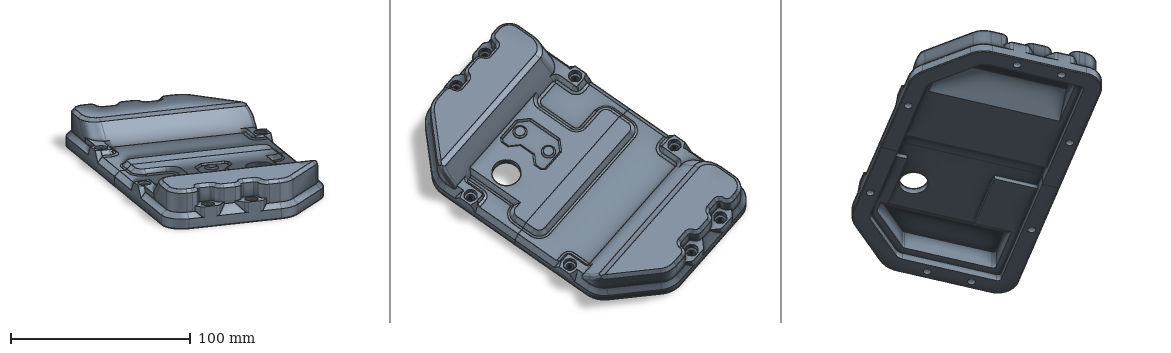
import cadquery as cq
import math

LENGTH = 176.0
WIDTH = 104.0
CORNER_CUT = 30.6
CUT_RADIUS = 16.0
CORNER_RADIUS = 12.0
BOTTOM_CHAMFER = 0.5

RIM_TOP = 6.0
FLOOR = 9.0
BACK_PAD_TOP = 11.0
PLATEAU_TOP = 12.0
LOBE_TOP = 22.0

LOBE_INSET = FLOOR - RIM_TOP
LOBE_FOOT_X = 42.8
LOBE_FRONT_FILLET = 9.0
LOBE_BACK_FILLET = 2.5
LOBE_CHAMFER = 2.0

BOLT_EDGE = 5.0
BOLT_HOLE = 4.4
COUNTERBORE = 7.2
BOLT_SEAT = 8.0
LONG_SIDE_BOLT_X = 35.0
END_BOLT_YS = (-1.2, -27.1)
END_BOSS_RADIUS = 3.0
NOTCH_CORNER_RADIUS = 2.0
NOTCH_LIP_RADIUS = 5.0
NOTCH_MARGIN = 1.8

PAD_RADIUS = 2.0
VALLEY_RADIUS = 1.0
PAD_END_X = 58.0
NOSE_FRONT_HALF = 3.7
NOSE_DEPTH = 3.3
NOSE_SPREAD = 0.72
FOOT_BEVEL = 1.0

STRIP_HALF_X = 10.2
STRIP_HALF_Y = 42.0
STRIP_RADIUS = 4.0
PLATEAU_BEVEL = 0.7
WING_TOP_Y = 34.0
WING_BOTTOM_Y = -18.5
WING_BURIED_Y = -35.2
WING_END_X = 52.8
POCKET_RADIUS = 7.0
POCKET_END_Y = -59.8

PORT_DIAMETER = 16.2
PORT_X = 27.8
PORT_Y = 24.1
PANEL_DEPTH = 1.0
PANEL_HALF_X = 16.0
PANEL_TOP_Y = 10.7
PANEL_DIP_Y = 6.0
PANEL_DIP_HALF_X = 4.4
PANEL_BOTTOM_Y = -11.0
PANEL_EAR_CUT = 2.0
PANEL_CHIN_CUT = 5.6
STUD_DIAMETER = 8.0
STUD_OFFSET = 10.0
STUD_Y = -1.0

WALL = 4.0
FLANGE = 2 * BOLT_EDGE
CAVITY_RADIUS = 2.0

HALF_LENGTH = LENGTH / 2
HALF_WIDTH = WIDTH / 2
DRAFT = 45.0
FOOT_DRAFT = 90 - DRAFT / 2
BEVEL_RISE = math.sin(math.radians(DRAFT))
LOBE_FRONT_X = LOBE_FOOT_X + LOBE_FRONT_FILLET * math.sqrt(2)


def both_ends(body):
    return body.union(body.mirror("YZ"))


def outline_prism(inset, bottom, top):
    """Prism over the cover outline moved inward by inset."""
    x = HALF_LENGTH - inset
    y = HALF_WIDTH - inset
    cut = CORNER_CUT - inset * (2 - math.sqrt(2))
    prism = (
        cq.Workplane("XY", origin=(0, 0, bottom))
        .polyline([(-x, -y), (x, -y), (x, y - cut), (x - cut, y), (cut - x, y), (-x, y - cut)])
        .close()
        .extrude(top - bottom)
    )
    prism = prism.edges("|Z and <Y").fillet(max(CORNER_RADIUS - inset, CAVITY_RADIUS))
    back_edges = cq.selectors.BoxSelector((-LENGTH, 0, 0), (LENGTH, WIDTH, LOBE_TOP))
    return prism.edges("|Z").edges(back_edges).fillet(max(CUT_RADIUS - inset, CAVITY_RADIUS))


def box(x0, x1, y0, y1, z0, z1):
    return cq.Workplane("XY").box(x1 - x0, y1 - y0, z1 - z0, False).translate((x0, y0, z0))


def drafted_rect(x0, x1, y0, y1, radius, bottom, height, draft):
    """Rounded rectangle at the bottom level, narrowing upward (or downward for a negative height)."""
    sketch = cq.Sketch().rect(x1 - x0, y1 - y0).vertices().fillet(radius)
    centre = ((x0 + x1) / 2, (y0 + y1) / 2, bottom)
    return cq.Workplane("XY", origin=centre).placeSketch(sketch).extrude(height, taper=draft)


def drafted_pad(x0, x1, y0, y1, radius, top, bevel):
    """Pad with 45 degree flanks; x0..y1 and radius describe its top face,
    and bevel is the setback of the bevel along the foot.
    """
    run = top - FLOOR
    pad = drafted_rect(x0 - run, x1 + run, y0 - run, y1 + run, radius + run, FLOOR, run, DRAFT)
    run += bevel
    rim = drafted_rect(
        x0 - run, x1 + run, y0 - run, y1 + run, radius + run, FLOOR, bevel * BEVEL_RISE, FOOT_DRAFT
    )
    return pad.union(rim)


def envelope():
    """Outline whose 45 degree rim bevel carries on up to the highest boss."""
    body = outline_prism(0, 0, PLATEAU_TOP)
    return body.faces(">Z").edges().chamfer(PLATEAU_TOP - RIM_TOP)


def notch_cutter():
    """Clearance beside the end bosses: rounded bays joined to the walls by S-shaped lips."""
    outside = -HALF_LENGTH - NOTCH_MARGIN
    wall_x = -HALF_LENGTH + LOBE_INSET
    bolt_x = -HALF_LENGTH + BOLT_EDGE
    bay_x = bolt_x + BOLT_EDGE
    corner = BOLT_EDGE - NOTCH_CORNER_RADIUS
    reach = NOTCH_CORNER_RADIUS + NOTCH_LIP_RADIUS
    share = NOTCH_CORNER_RADIUS / reach

    def lip(start_x):
        """Rise from the bolt to the lip end, and the tangent point of the two arcs."""
        across = start_x + NOTCH_LIP_RADIUS - bolt_x - corner
        along = math.sqrt(reach**2 - across**2)
        return corner + along, bolt_x + corner + across * share, corner + along * share

    outer_end, outer_x, outer_y = lip(wall_x)
    inner_end, inner_x, inner_y = lip(bolt_x)
    upper, lower = END_BOLT_YS
    profile = (
        cq.Workplane("XY", origin=(0, 0, FLOOR))
        .moveTo(outside, upper + outer_end + NOTCH_MARGIN)
        .lineTo(wall_x, upper + outer_end + NOTCH_MARGIN)
        .lineTo(wall_x, upper + outer_end)
        .tangentArcPoint((outer_x, upper + outer_y), relative=False)
        .tangentArcPoint((bay_x, upper + corner), relative=False)
        .lineTo(bay_x, upper - corner)
        .tangentArcPoint((inner_x, upper - inner_y), relative=False)
        .tangentArcPoint((bolt_x, upper - inner_end), relative=False)
        .lineTo(bolt_x, lower + inner_end)
        .tangentArcPoint((inner_x, lower + inner_y), relative=False)
        .tangentArcPoint((bay_x, lower + corner), relative=False)
        .lineTo(bay_x, lower - corner)
        .tangentArcPoint((outer_x, lower - outer_y), relative=False)
        .tangentArcPoint((wall_x, lower - outer_end), relative=False)
        .lineTo(wall_x, lower - outer_end - NOTCH_MARGIN)
        .lineTo(outside, lower - outer_end - NOTCH_MARGIN)
        .close()
    )
    return profile.extrude(LOBE_TOP)


def slope_prism(foot_x, bottom, top):
    """Everything on the -X side of a 45 degree slope that crosses the floor level at -foot_x."""
    bottom_x = -foot_x + FLOOR - bottom
    top_x = -foot_x + FLOOR - top
    return (
        cq.Workplane("XZ", origin=(0, HALF_WIDTH, 0))
        .polyline([(-HALF_LENGTH, bottom), (bottom_x, bottom), (top_x, top), (-HALF_LENGTH, top)])
        .close()
        .extrude(WIDTH)
    )


def lobe():
    """Raised -X end with a 45 degree inner face."""
    body = outline_prism(LOBE_INSET, RIM_TOP, LOBE_TOP)
    body = body.intersect(slope_prism(LOBE_FOOT_X, RIM_TOP, LOBE_TOP))
    slope = cq.selectors.DirectionSelector(cq.Vector(1, 0, 1))
    body = body.faces(slope).edges("<Y").fillet(LOBE_FRONT_FILLET)
    body = body.cut(notch_cutter())
    body = body.faces(">Z").edges().chamfer(LOBE_CHAMFER)
    return body.faces(slope).edges(">Y").fillet(LOBE_BACK_FILLET)


def end_bosses():
    """Pointed bosses on the -X wall, and the high rim bevel between them."""
    wall_x = -HALF_LENGTH
    bolt_x = wall_x + BOLT_EDGE
    point_y = 2 * BOLT_EDGE
    end_x = bolt_x + BOLT_EDGE
    upper, lower = END_BOLT_YS
    body = box(wall_x, bolt_x, lower, upper, RIM_TOP, PLATEAU_TOP).intersect(envelope())
    for y in END_BOLT_YS:
        boss = (
            cq.Workplane("XY", origin=(0, y, RIM_TOP))
            .polyline(
                [
                    (wall_x, -BOLT_EDGE),
                    (bolt_x, -point_y),
                    (end_x, -BOLT_EDGE),
                    (end_x, BOLT_EDGE),
                    (bolt_x, point_y),
                    (wall_x, BOLT_EDGE),
                ]
            )
            .close()
            .extrude(PLATEAU_TOP - RIM_TOP)
            .edges("|Z and <X")
            .fillet(END_BOSS_RADIUS)
        )
        body = body.union(boss)
    return body


def nose(side, top):
    """Front of a long-side boss, spreading down to the rim; side is +1 for +Y and -1 for -Y."""
    edge_y = side * HALF_WIDTH
    shoulder_y = edge_y - side * NOSE_DEPTH
    back_y = edge_y - side * 2 * BOLT_EDGE
    height = top - RIM_TOP
    spread = height * NOSE_SPREAD

    def section(grow):
        front = NOSE_FRONT_HALF + grow
        rear = BOLT_EDGE + grow
        right = [(front, edge_y), (rear, shoulder_y), (rear, back_y)]
        return right + [(-x, y) for x, y in reversed(right)]

    flared = (
        cq.Workplane("XY", origin=(-LONG_SIDE_BOLT_X, 0, RIM_TOP))
        .polyline(section(spread))
        .close()
        .workplane(offset=height)
        .polyline(section(0))
        .close()
        .loft(ruled=True)
    )
    keep = sorted((edge_y, back_y))
    return flared.intersect(box(-HALF_LENGTH, 0, *keep, RIM_TOP, top))


def long_side_boss(side, top):
    """Drafted pad that runs from the lobe to its bolt, with a nose out to the wall."""
    bolt_y = side * (HALF_WIDTH - BOLT_EDGE)
    ends = sorted((bolt_y - side * BOLT_EDGE, side * (HALF_WIDTH + BOLT_EDGE)))
    pad = drafted_pad(-PAD_END_X, BOLT_EDGE - LONG_SIDE_BOLT_X, *ends, PAD_RADIUS, top, FOOT_BEVEL)
    if side > 0:
        pad = pad.intersect(envelope())
    else:
        pad = pad.intersect(box(-LOBE_FRONT_X, 0, LOBE_INSET - HALF_WIDTH, 0, FLOOR, top))
    return pad.union(nose(side, top)).union(valley_fill(side, top))


def valley_fill(side, top):
    """Rounds the valley between the lobe slope and the inner flank of a long-side pad."""
    rise = top - FLOOR
    lobe_x = -LOBE_FOOT_X - rise
    pad_y = side * (HALF_WIDTH - 2 * BOLT_EDGE)
    across = sorted((pad_y, 0))
    hollow = drafted_rect(lobe_x, 0, *across, VALLEY_RADIUS + rise, top, -rise, DRAFT)
    reach = VALLEY_RADIUS + 2 * rise
    span = sorted((pad_y, pad_y - side * reach))
    return box(lobe_x, lobe_x + reach, *span, FLOOR, top).cut(hollow)


def plateau():
    """Central strip and a wing to the +X lobe, with a rounded pocket below the wing."""
    wing = drafted_pad(
        0, WING_END_X, WING_BURIED_Y, WING_TOP_Y, PAD_RADIUS, PLATEAU_TOP, PLATEAU_BEVEL
    )
    lobe_x = LOBE_FOOT_X + PLATEAU_TOP - FLOOR
    foot = FOOT_BEVEL * BEVEL_RISE
    drop = PLATEAU_TOP - FLOOR - foot
    upper = drafted_rect(
        STRIP_HALF_X, lobe_x, POCKET_END_Y, WING_BOTTOM_Y, POCKET_RADIUS, PLATEAU_TOP, -drop, DRAFT
    )
    lower = drafted_rect(
        STRIP_HALF_X + drop,
        lobe_x - drop,
        POCKET_END_Y + drop,
        WING_BOTTOM_Y - drop,
        POCKET_RADIUS - drop,
        FLOOR + foot,
        -foot,
        FOOT_DRAFT,
    )
    strip = drafted_pad(
        -STRIP_HALF_X,
        STRIP_HALF_X,
        -STRIP_HALF_Y,
        STRIP_HALF_Y,
        STRIP_RADIUS,
        PLATEAU_TOP,
        PLATEAU_BEVEL,
    )
    return wing.cut(upper).cut(lower).union(strip)


def panel_recess():
    """Shallow eared recess with 45 degree walls, leaving two conical studs."""
    ear_x = PANEL_DIP_HALF_X + PANEL_TOP_Y - PANEL_DIP_Y
    right = [
        (PANEL_DIP_HALF_X, PANEL_DIP_Y),
        (ear_x, PANEL_TOP_Y),
        (PANEL_HALF_X - PANEL_EAR_CUT, PANEL_TOP_Y),
        (PANEL_HALF_X, PANEL_TOP_Y - PANEL_EAR_CUT),
        (PANEL_HALF_X, PANEL_BOTTOM_Y + PANEL_CHIN_CUT),
        (PANEL_HALF_X - PANEL_CHIN_CUT, PANEL_BOTTOM_Y),
    ]
    recess = (
        cq.Workplane("XY", origin=(PORT_X, 0, PLATEAU_TOP))
        .polyline(right + [(-x, y) for x, y in reversed(right)])
        .close()
        .extrude(-PANEL_DEPTH, taper=DRAFT)
    )
    studs = (
        cq.Workplane("XY", origin=(PORT_X, STUD_Y, PLATEAU_TOP - PANEL_DEPTH))
        .pushPoints([(-STUD_OFFSET, 0), (STUD_OFFSET, 0)])
        .circle(STUD_DIAMETER / 2)
        .extrude(PANEL_DEPTH, taper=DRAFT)
    )
    return recess.cut(studs)


def bolt_hole(x, y):
    hole = cq.Workplane("XY", origin=(x, y, 0)).circle(BOLT_HOLE / 2).extrude(LOBE_TOP)
    seat = cq.Workplane("XY", origin=(x, y, BOLT_SEAT))
    return hole.union(seat.circle(COUNTERBORE / 2).extrude(LOBE_TOP))


def bolt_holes():
    """Bolts of the -X half."""
    bolt_y = HALF_WIDTH - BOLT_EDGE
    holes = bolt_hole(-LONG_SIDE_BOLT_X, bolt_y)
    holes = holes.union(bolt_hole(-LONG_SIDE_BOLT_X, -bolt_y))
    for y in END_BOLT_YS:
        holes = holes.union(bolt_hole(BOLT_EDGE - HALF_LENGTH, y))
    return holes


def cavity():
    """Hollow underside that leaves one wall thickness below the floor, plateau and lobes."""
    body = outline_prism(FLANGE, 0, FLOOR - WALL)
    lobe_room = outline_prism(FLANGE + WALL, 0, LOBE_TOP - WALL).intersect(
        slope_prism(LOBE_FOOT_X + WALL * math.sqrt(2), 0, LOBE_TOP - WALL)
    )
    body = body.union(both_ends(lobe_room))
    inset = WALL * (math.sqrt(2) - 1)
    top = PLATEAU_TOP - WALL
    strip_x = STRIP_HALF_X - inset
    strip_y = HALF_WIDTH - FLANGE
    body = body.union(box(-strip_x, strip_x, -strip_y, strip_y, 0, top))
    return body.union(
        box(0, LOBE_FOOT_X + WALL, WING_BOTTOM_Y + inset, WING_TOP_Y, 0, top)
    )


def cover():
    base = envelope().intersect(box(-HALF_LENGTH, HALF_LENGTH, -HALF_WIDTH, HALF_WIDTH, 0, FLOOR))
    base = base.faces("<Z").edges().chamfer(BOTTOM_CHAMFER)
    ends = lobe().union(end_bosses())
    ends = ends.union(long_side_boss(1, BACK_PAD_TOP)).union(long_side_boss(-1, PLATEAU_TOP))
    body = base.union(plateau()).union(both_ends(ends))
    port = cq.Workplane("XY", origin=(PORT_X, PORT_Y, 0)).circle(PORT_DIAMETER / 2).extrude(LOBE_TOP)
    body = body.cut(cavity()).cut(port).cut(panel_recess())
    return body.cut(both_ends(bolt_holes()))


def cover_half(whole, side):
    """The part of the cover on one side of the seam at X = 0."""
    ends = sorted((0, side * HALF_LENGTH))
    return whole.intersect(box(*ends, -HALF_WIDTH, HALF_WIDTH, 0, LOBE_TOP))


whole_cover = cover()
left_half = cover_half(whole_cover, -1)
right_half = cover_half(whole_cover, 1)
result = cq.Compound.makeCompound([left_half.val(), right_half.val()])